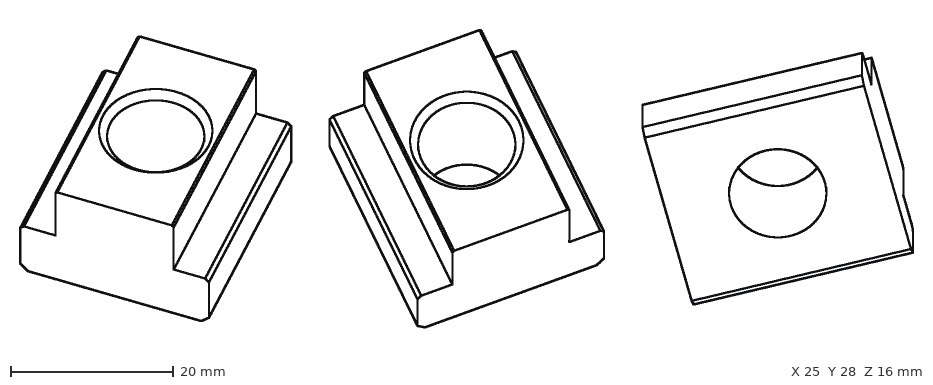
import cadquery as cq

length = 28.0
base_width = 25.0
total_height = 16.0

base_height = 8.0
neck_width = 15.68
bottom_chamfer = 1.0
shoulder_chamfer = 0.5
neck_chamfer = 0.25

hole_diameter = 12.0
entry_diameter = 14.0
entry_depth = (entry_diameter - hole_diameter) / 2


def plain_bar(width, bottom, top):
    """Bar along Y, centred in X and Y, between two heights."""
    return cq.Workplane("XY").workplane(offset=bottom).box(
        width, length, top - bottom, centered=(True, True, False)
    )


base = plain_bar(base_width, 0, base_height)
base = base.faces("<Z").edges("|Y").chamfer(bottom_chamfer)
base = base.faces(">Z").edges("|Y").chamfer(shoulder_chamfer)

neck = plain_bar(neck_width, base_height, total_height)
neck = neck.faces(">Z").edges("|Y").chamfer(neck_chamfer)

hole = cq.Workplane("XY").circle(hole_diameter / 2).extrude(total_height)
entry = (
    cq.Workplane("XY")
    .workplane(offset=total_height - entry_depth)
    .circle(hole_diameter / 2)
    .workplane(offset=entry_depth)
    .circle(entry_diameter / 2)
    .loft()
)

result = base.union(neck).cut(hole).cut(entry)